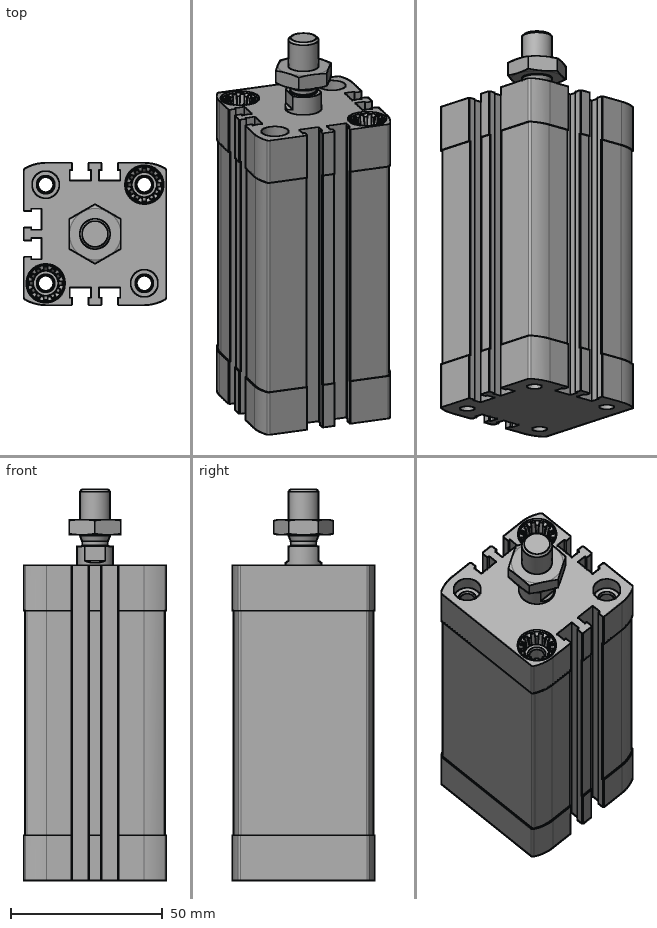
import cadquery as cq
import math

HOUSING_HEIGHT = 104.0
CAP_SIZE = 47.0
CAP_HEIGHT = 15.0
BARREL_INSET = 0.4
CORNER_START = 16.1
CORNER_RADIUS = 14.0
CORNER_BLEND = 1.0

SLOT_OFFSET = 4.85
SLOT_OPENING = 5.3
SLOT_WIDTH = 6.9
SLOT_DEPTH = 5.85
LIP_DEPTH = 2.5
LIP_CHAMFER = 0.3

HOLE_SPACING = 32.5
THROUGH_DIAMETER = 4.92
HOLE_MOUTH_DIAMETER = 6.0
RECESS_DEPTH = 5.0
PLAIN_RECESS_DIAMETER = 9.0

SPLINE_RIM_DIAMETER = 12.8
SPLINE_CONE_DIAMETER = 11.9
SPLINE_BORE_DIAMETER = 9.0
SPLINE_FLOOR_DIAMETER = 8.2
SPLINE_RIM_DEPTH = 0.45
SPLINE_CONE_DEPTH = 1.1
GROOVE_COUNT = 12
GROOVE_WIDTH = 1.4
GROOVE_TOP_DIAMETER = 11.2

ROD_DIAMETER = 12.0
ROD_SEAT_DEPTH = CAP_HEIGHT
ROD_SHOULDER = 6.2
ROD_FLATS = 10.0
FLATS_START = 1.45
FLATS_RUNOUT = 0.75
NECK_DIAMETER = 8.5
NECK_FOOT = 0.3
NECK_END = 7.8
THREAD_DIAMETER = 10.0
THREAD_START = 9.7
ROD_LENGTH = 25.0
TIP_HEIGHT = 0.75
TIP_DIAMETER = 8.5

NUT_ACROSS_FLATS = 17.0
NUT_HEIGHT = 5.0
NUT_BOTTOM = 10.0
NUT_CHAMFER_ANGLE = 15.0


def corner_block(inset, bottom, height):
    """Prism with flat faces and large arcs over its four corners."""
    half = CAP_SIZE / 2 - inset
    radius = CORNER_RADIUS
    arc_centre = half - radius
    run = half - CORNER_START
    side_end = arc_centre + math.sqrt(radius**2 - run**2)
    mid_x = CORNER_START + radius * math.sin(math.asin(run / radius) / 2)
    mid_y = arc_centre + radius * math.cos(math.asin(run / radius) / 2)
    return (
        cq.Workplane("XY", origin=(0, 0, bottom))
        .moveTo(-CORNER_START, -half)
        .lineTo(CORNER_START, -half)
        .threePointArc((mid_x, -mid_y), (half, -side_end))
        .lineTo(half, side_end)
        .threePointArc((mid_x, mid_y), (CORNER_START, half))
        .lineTo(-CORNER_START, half)
        .threePointArc((-mid_x, mid_y), (-half, side_end))
        .lineTo(-half, -side_end)
        .threePointArc((-mid_x, -mid_y), (-CORNER_START, -half))
        .close()
        .extrude(height)
        .edges("|Z and (<X or >X)")
        .fillet(CORNER_BLEND)
    )


def sensor_slot(offset, inset, bottom, height):
    """T-shaped slot along Z whose chamfered mouth meets a -Y face set in from the cap size."""
    cap_face = -CAP_SIZE / 2
    face = cap_face + inset
    opening = SLOT_OPENING / 2
    inner = SLOT_WIDTH / 2
    points = [
        (-opening - LIP_CHAMFER, face),
        (-opening, face + LIP_CHAMFER),
        (-opening, cap_face + LIP_DEPTH),
        (-inner, cap_face + LIP_DEPTH),
        (-inner, cap_face + SLOT_DEPTH),
    ]
    mirrored = [(-x, y) for x, y in reversed(points)]
    return (
        cq.Workplane("XY", origin=(0, 0, bottom))
        .polyline([(x + offset, y) for x, y in points + mirrored])
        .close()
        .extrude(height)
    )


def housing_section(inset, bottom, height):
    """Length of the housing with slots in its -Y, -X and +Y faces; the +X face is plain."""
    section = corner_block(inset, bottom, height)
    for turn in (0, -90, 180):
        for offset in (-SLOT_OFFSET, SLOT_OFFSET):
            slot = sensor_slot(offset, inset, bottom, height)
            section = section.cut(slot.rotate((0, 0, 0), (0, 0, 1), turn))
    return section


def turned(profile):
    """Solid of revolution about Z from (radius, height) points."""
    return cq.Workplane("XZ").polyline(profile).close().revolve(360, (0, 0), (0, 1))


def mounting_hole():
    """Through hole with a countersunk mouth on the recess floor."""
    floor = HOUSING_HEIGHT - RECESS_DEPTH
    narrow = THROUGH_DIAMETER / 2
    mouth = HOLE_MOUTH_DIAMETER / 2
    return turned([(0, 0), (narrow, 0), (narrow, floor - (mouth - narrow)), (mouth, floor), (0, floor)])


def plain_recess():
    floor = HOUSING_HEIGHT - RECESS_DEPTH
    return cq.Workplane("XY", origin=(0, 0, floor)).circle(PLAIN_RECESS_DIAMETER / 2).extrude(RECESS_DEPTH)


def splined_recess():
    """Countersunk tapered recess with tapering grooves spaced around its wall."""
    top = HOUSING_HEIGHT
    floor = top - RECESS_DEPTH
    floor_radius = SPLINE_FLOOR_DIAMETER / 2
    recess = turned([
        (0, floor),
        (floor_radius, floor),
        (SPLINE_BORE_DIAMETER / 2, top - SPLINE_CONE_DEPTH),
        (SPLINE_CONE_DIAMETER / 2, top - SPLINE_RIM_DEPTH),
        (SPLINE_RIM_DIAMETER / 2, top),
        (0, top),
    ])
    groove = (
        cq.Workplane("XZ")
        .polyline([(0, floor), (floor_radius, floor), (GROOVE_TOP_DIAMETER / 2, top), (0, top)])
        .close()
        .extrude(GROOVE_WIDTH / 2, both=True)
    )
    for index in range(GROOVE_COUNT):
        recess = recess.union(groove.rotate((0, 0, 0), (0, 0, 1), index * 360 / GROOVE_COUNT))
    return recess


def make_housing():
    barrel_height = HOUSING_HEIGHT - 2 * CAP_HEIGHT
    housing = housing_section(BARREL_INSET, CAP_HEIGHT, barrel_height)
    for bottom in (0, HOUSING_HEIGHT - CAP_HEIGHT):
        housing = housing.union(housing_section(0, bottom, CAP_HEIGHT))

    for side_x in (-1, 1):
        for side_y in (-1, 1):
            place = (side_x * HOLE_SPACING / 2, side_y * HOLE_SPACING / 2, 0)
            recess = splined_recess() if side_x == side_y else plain_recess()
            housing = housing.cut(mounting_hole().translate(place)).cut(recess.translate(place))

    rod_seat = (
        cq.Workplane("XY", origin=(0, 0, HOUSING_HEIGHT - ROD_SEAT_DEPTH))
        .circle(ROD_DIAMETER / 2)
        .extrude(ROD_SEAT_DEPTH)
    )
    return housing.cut(rod_seat)


def make_rod():
    thick = ROD_DIAMETER / 2
    neck = NECK_DIAMETER / 2
    thread = THREAD_DIAMETER / 2
    rod = turned([
        (0, -ROD_SEAT_DEPTH),
        (thick, -ROD_SEAT_DEPTH),
        (thick, ROD_SHOULDER),
        (neck + NECK_FOOT, ROD_SHOULDER),
        (neck, ROD_SHOULDER + NECK_FOOT),
        (neck, NECK_END),
        (thread, THREAD_START),
        (thread, ROD_LENGTH - TIP_HEIGHT),
        (TIP_DIAMETER / 2, ROD_LENGTH),
        (0, ROD_LENGTH),
    ])
    flat = ROD_FLATS / 2
    flat_cut = (
        cq.Workplane("YZ", origin=(-thick, 0, 0))
        .polyline([
            (flat, ROD_SHOULDER),
            (flat, FLATS_START),
            (thick, FLATS_START - FLATS_RUNOUT),
            (thick, ROD_SHOULDER),
        ])
        .close()
        .extrude(ROD_DIAMETER)
    )
    rod = rod.cut(flat_cut).cut(flat_cut.mirror("XZ"))
    return rod.translate((0, 0, HOUSING_HEIGHT))


def make_nut():
    across_corners = NUT_ACROSS_FLATS / math.cos(math.radians(30))
    flat_radius = NUT_ACROSS_FLATS / 2
    corner_radius = across_corners / 2
    drop = (corner_radius - flat_radius) * math.tan(math.radians(NUT_CHAMFER_ANGLE))
    hexagon = (
        cq.Workplane("XY")
        .polygon(6, across_corners)
        .extrude(NUT_HEIGHT)
        .rotate((0, 0, 0), (0, 0, 1), 30)
    )
    chamfered = turned([
        (0, 0),
        (flat_radius, 0),
        (corner_radius, drop),
        (corner_radius, NUT_HEIGHT - drop),
        (flat_radius, NUT_HEIGHT),
        (0, NUT_HEIGHT),
    ])
    bore = cq.Workplane("XY").circle(THREAD_DIAMETER / 2).extrude(NUT_HEIGHT)
    return hexagon.intersect(chamfered).cut(bore).translate((0, 0, HOUSING_HEIGHT + NUT_BOTTOM))


housing = make_housing()
rod = make_rod()
nut = make_nut()

result = cq.Compound.makeCompound([housing.val(), rod.val(), nut.val()])